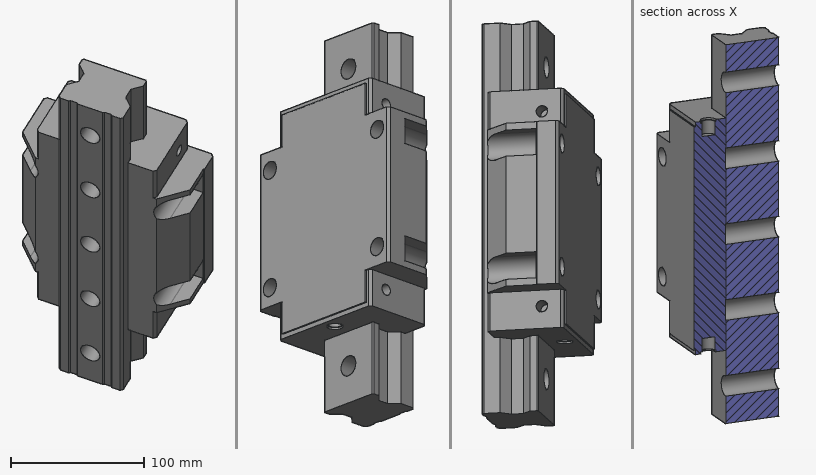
import cadquery as cq

rail_length = 300.0
rail_width = 53.0
rail_height = 43.8
rail_waist_width = 39.0
waist_bottom_y = 14.5
waist_flat_bottom_y = 21.5
waist_flat_top_y = 30.5
waist_top_y = 37.5
rail_top_chamfer = 1.0
rail_foot_chamfer = 1.8

foot_groove_mouth_width = 7.5
foot_groove_floor_width = 5.0
foot_groove_depth = 1.0
foot_groove_offset = 14.0

rail_hole_diameter = 16.0
rail_hole_pitch = 60.0
rail_hole_count = 5

flange_width = 140.0
flange_half_width = flange_width / 2
carriage_top_y = 70.0
carriage_bottom_y = 10.2
flange_length = 125.5
flange_top_chamfer = 2.0
flange_lower_y = 30.3
keel_half_width = 50.0
plain_side_relief = 1.0
relief_top_y = 53.0

cap_length = 184.2
cap_width = 99.0
cap_top_y = 68.7
cap_chamfer = 2.0
top_plate_length = 177.0
top_plate_width = 90.0

bolt_hole_diameter = 14.0
bolt_slot_width = 20.0
bolt_seat_y = 52.5
bolt_spacing_x = 115.8
bolt_spacing_z = 94.8

side_port_diameter = 8.7
side_port_depth = 15.0
side_port_y = 52.2
side_port_spacing_z = 150.0

end_port_diameter = 10.2
end_port_depth = 12.0
end_port_rim_diameter = 12.3
end_port_rim_depth = 1.5
end_port_y = 58.0


def extrude_along_z(outline, length):
    """Close an XY outline and extrude it symmetrically about Z = 0."""
    return cq.Workplane("XY").polyline(outline).close().extrude(length / 2, both=True)


def mirrored_outline(right_side):
    """Complete a bottom-to-top right-hand outline with its mirror image."""
    return right_side + [(-x, y) for x, y in reversed(right_side)]


def rail_bar():
    half = rail_width / 2
    waist = rail_waist_width / 2
    return extrude_along_z(mirrored_outline([
        (half - rail_foot_chamfer, 0),
        (half, rail_foot_chamfer),
        (half, waist_bottom_y),
        (waist, waist_flat_bottom_y),
        (waist, waist_flat_top_y),
        (half, waist_top_y),
        (half, rail_height - rail_top_chamfer),
        (half - rail_top_chamfer, rail_height),
    ]), rail_length)


def foot_groove(x):
    """Shallow groove with sloped sides along the mounting face, centred on x."""
    return extrude_along_z([
        (x - foot_groove_mouth_width / 2, 0),
        (x + foot_groove_mouth_width / 2, 0),
        (x + foot_groove_floor_width / 2, foot_groove_depth),
        (x - foot_groove_floor_width / 2, foot_groove_depth),
    ], rail_length)


def make_rail():
    rail = rail_bar()
    for side in (-1, 1):
        rail = rail.cut(foot_groove(side * foot_groove_offset))
    for index in range(rail_hole_count):
        z = (index - (rail_hole_count - 1) / 2) * rail_hole_pitch
        hole = cq.Solid.makeCylinder(
            rail_hole_diameter / 2, rail_height, cq.Vector(0, 0, z), cq.Vector(0, 1, 0))
        rail = rail.cut(cq.Workplane(hole))
    return rail


def flanged_centre():
    relieved_half_width = flange_half_width - plain_side_relief
    lower_slope = (flange_lower_y - carriage_bottom_y) / (flange_half_width - keel_half_width)
    relieved_lower_y = flange_lower_y - plain_side_relief * lower_slope
    shoulder = flange_half_width - flange_top_chamfer
    shoulder_y = carriage_top_y - flange_top_chamfer
    return extrude_along_z([
        (-keel_half_width, carriage_bottom_y),
        (keel_half_width, carriage_bottom_y),
        (relieved_half_width, relieved_lower_y),
        (relieved_half_width, relief_top_y),
        (flange_half_width, relief_top_y),
        (flange_half_width, shoulder_y),
        (shoulder, carriage_top_y),
        (-shoulder, carriage_top_y),
        (-flange_half_width, shoulder_y),
        (-flange_half_width, flange_lower_y),
    ], flange_length)


def end_caps():
    """Both caps as one bar through the flanged centre, with the top plate on it."""
    height = cap_top_y - carriage_bottom_y
    caps = (
        cq.Workplane("XY")
        .box(cap_width, height, cap_length)
        .edges("|Z")
        .chamfer(cap_chamfer)
        .translate((0, carriage_bottom_y + height / 2, 0))
    )
    plate_thickness = carriage_top_y - cap_top_y
    plate = (
        cq.Workplane("XY")
        .box(top_plate_width, plate_thickness, top_plate_length)
        .translate((0, cap_top_y + plate_thickness / 2, 0))
    )
    return caps.union(plate)


def bolt_seat(side, z):
    """Bolt hole through the flange plus a round-ended slot open to the side and below."""
    x = side * bolt_spacing_x / 2
    upward = cq.Vector(0, 1, 0)
    hole = cq.Solid.makeCylinder(bolt_hole_diameter / 2, carriage_top_y, cq.Vector(x, 0, z), upward)
    round_end = cq.Solid.makeCylinder(bolt_slot_width / 2, bolt_seat_y, cq.Vector(x, 0, z), upward)
    slot_run = flange_half_width - bolt_spacing_x / 2
    slot = (
        cq.Workplane("XY")
        .box(slot_run, bolt_seat_y, bolt_slot_width)
        .translate((x + side * slot_run / 2, bolt_seat_y / 2, z))
    )
    return slot.union(cq.Workplane(round_end)).union(cq.Workplane(hole))


def side_port(side, z):
    """Blind lubrication hole in the side of an end cap."""
    return cq.Workplane(cq.Solid.makeCylinder(
        side_port_diameter / 2,
        side_port_depth,
        cq.Vector(side * cap_width / 2, side_port_y, z),
        cq.Vector(-side, 0, 0),
    ))


def end_port(end):
    """Blind counterbored lubrication hole in the outer face of an end cap."""
    mouth = cq.Vector(0, end_port_y, end * cap_length / 2)
    inward = cq.Vector(0, 0, -end)
    bore = cq.Solid.makeCylinder(end_port_diameter / 2, end_port_depth, mouth, inward)
    rim = cq.Solid.makeCylinder(end_port_rim_diameter / 2, end_port_rim_depth, mouth, inward)
    return cq.Workplane(bore).union(cq.Workplane(rim))


def make_carriage():
    carriage = flanged_centre().union(end_caps()).cut(rail_bar())
    for end in (-1, 1):
        carriage = carriage.cut(end_port(end))
        for side in (-1, 1):
            carriage = carriage.cut(bolt_seat(side, end * bolt_spacing_z / 2))
            carriage = carriage.cut(side_port(side, end * side_port_spacing_z / 2))
    return carriage


rail = make_rail()
carriage = make_carriage()

result = cq.Compound.makeCompound([rail.val(), carriage.val()])